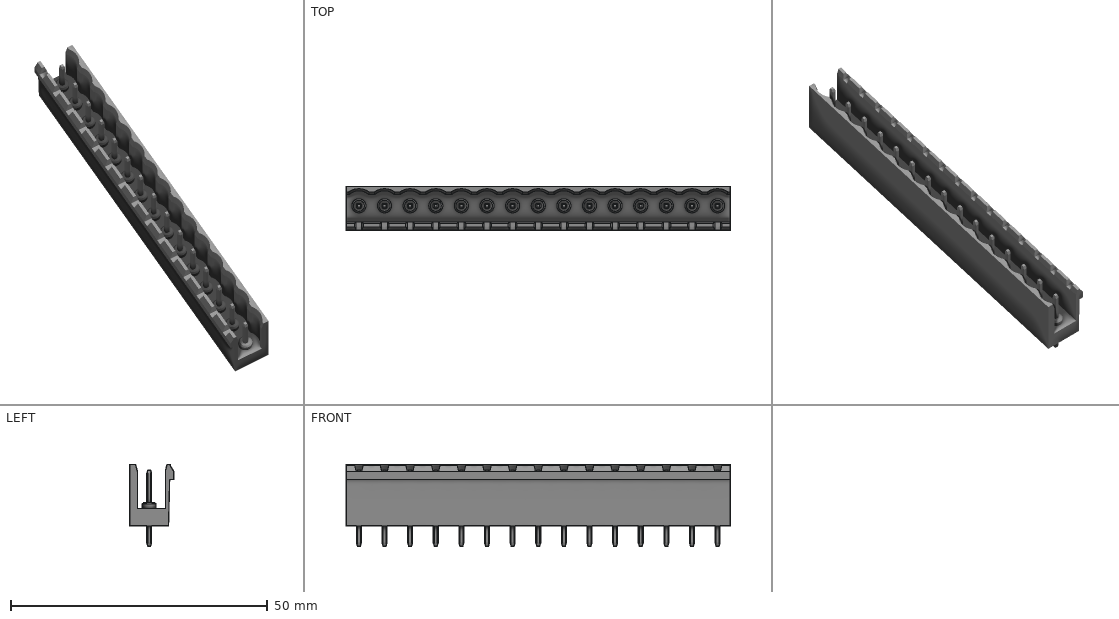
import cadquery as cq

pin_count = 15
pitch = 5.0
row_length = pin_count * pitch
pin_positions = [(i - (pin_count - 1) / 2) * pitch for i in range(pin_count)]

housing_height = 12.0
floor_height = 3.4
tip_edge_height = 0.25
lip_bottom = 9.0
lip_shoulder = 10.65
front_chamfer_height = 1.2
back_taper_height = 1.5

overall_depth = 8.6
back_y = 3.8
front_lip_y = back_y - overall_depth
back_wall_thickness = 1.56
cavity_back_y = back_y - back_wall_thickness
cavity_front_y = -3.15
front_wall_thickness = 0.87
front_wall_draft = 0.22
wall_top_y = cavity_front_y - front_wall_thickness
wall_bottom_y = wall_top_y + front_wall_draft
front_chamfer_depth = 0.33
tip_thickness = 0.64
tip_inner_y = cavity_front_y - front_chamfer_depth
tip_outer_y = tip_inner_y - tip_thickness

recess_radius = 2.92
back_taper = 0.42

notch_bottom_width = 1.1
notch_top_width = 1.75

pin_width = 0.99
pin_edge_chamfer = 0.22
pin_bottom = -4.0
pin_top = 10.9
pin_tip_height = 0.7
pin_tip_inset = 0.22
collar_diameter = 2.75
collar_height = 1.15
collar_chamfer = 0.3


def make_housing():
    """Trough profile with a tapered back wall and a hooked front wall, extruded along X."""
    profile = [
        (back_y, 0),
        (back_y, housing_height),
        (cavity_back_y + back_taper, housing_height),
        (cavity_back_y, housing_height - back_taper_height),
        (cavity_back_y, floor_height),
        (cavity_front_y, floor_height),
        (cavity_front_y, housing_height - front_chamfer_height),
        (tip_inner_y, housing_height),
        (tip_outer_y, housing_height),
        (tip_outer_y, housing_height - tip_edge_height),
        (front_lip_y, lip_shoulder),
        (front_lip_y, lip_bottom),
        (wall_top_y, lip_bottom),
        (wall_bottom_y, 0),
    ]
    return cq.Workplane("YZ").polyline(profile).close().extrude(row_length / 2, both=True)


def make_recess(x):
    """Half-round recess that flares out over the tapered top of the back wall."""
    taper_start = housing_height - back_taper_height
    half_section = [
        (0, floor_height),
        (recess_radius, floor_height),
        (recess_radius, taper_start),
        (recess_radius + back_taper, housing_height),
        (0, housing_height),
    ]
    section = cq.Workplane("XZ").polyline(half_section).close()
    return section.revolve(180, (0, 0), (0, 1)).translate((x, 0, 0))


def make_notch(x):
    """Notch with sloping sides, cut through the front wall along Y."""
    outline = [
        (x - notch_bottom_width / 2, lip_shoulder),
        (x + notch_bottom_width / 2, lip_shoulder),
        (x + notch_top_width / 2, housing_height),
        (x - notch_top_width / 2, housing_height),
    ]
    return cq.Workplane("XZ").polyline(outline).close().extrude(-front_lip_y)


def make_tapered_bar():
    """Square bar with both ends tapered on all four sides."""
    half_width = pin_width / 2
    tip_half_width = half_width - pin_tip_inset
    outline = [
        (-tip_half_width, pin_bottom),
        (tip_half_width, pin_bottom),
        (half_width, pin_bottom + pin_tip_height),
        (half_width, pin_top - pin_tip_height),
        (tip_half_width, pin_top),
        (-tip_half_width, pin_top),
        (-half_width, pin_top - pin_tip_height),
        (-half_width, pin_bottom + pin_tip_height),
    ]
    along_y = cq.Workplane("XZ").polyline(outline).close().extrude(half_width, both=True)
    along_x = cq.Workplane("YZ").polyline(outline).close().extrude(half_width, both=True)
    return along_y.intersect(along_x)


def make_pin(x):
    """Square pin with bevelled edges and tapered tips, standing in a chamfered collar."""
    bevelled_bar = (
        cq.Workplane("XY", origin=(0, 0, pin_bottom))
        .rect(pin_width, pin_width)
        .extrude(pin_top - pin_bottom)
        .edges("|Z")
        .chamfer(pin_edge_chamfer)
    )
    shaft = make_tapered_bar().intersect(bevelled_bar).translate((x, 0, 0))
    collar = (
        cq.Workplane("XY", origin=(x, 0, floor_height))
        .circle(collar_diameter / 2)
        .extrude(collar_height)
        .faces(">Z")
        .chamfer(collar_chamfer)
    )
    return shaft.union(collar)


result = make_housing()
for pin_x in pin_positions:
    result = result.cut(make_recess(pin_x)).cut(make_notch(pin_x))
for pin_x in pin_positions:
    result = result.union(make_pin(pin_x))